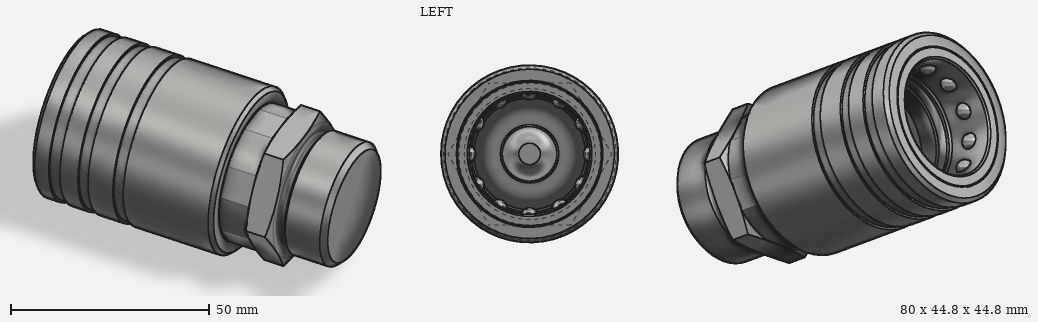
import cadquery as cq
import math

LENGTH = 80.0

SLEEVE_LENGTH = 51.0
SLEEVE_RADIUS = 22.4
SLEEVE_BORE_RADIUS = 18.5
SLEEVE_CHAMFER = 1.0
GRIP_GROOVE_DEPTH = 0.6
GRIP_GROOVE_SPANS = [(5.0, 8.2), (13.2, 16.1), (23.0, 26.0)]

BARREL_RADIUS = 18.2
COLLAR_RADIUS = 18.4
FLAT_DISTANCE = 17.9
CORNER_DISTANCE = FLAT_DISTANCE / math.cos(math.radians(30))
NUT_START = 59.0
NUT_END = 65.9
NUT_CHAMFER_LENGTH = 0.8
NECK_RADIUS = 15.0
NECK_FILLET = 0.9
NECK_END = 67.8
THREAD_START = 68.8
THREAD_RADIUS = 16.6
THREAD_CHAMFER = 1.5

BORE_RADIUS = 15.3
BORE_END = 13.0
MOUTH_CHAMFER = 0.5
THROAT_RADIUS = 14.7
CHAMBER_RADIUS = 14.1
CHAMBER_END = 22.4

BEAD_RADIUS = 1.5
BEAD_GROOVE_START = 14.3
BEAD_GROOVE_END = BEAD_GROOVE_START + 2 * BEAD_RADIUS
BEAD_CENTER_X = BEAD_GROOVE_START + BEAD_RADIUS
BEAD_CENTER_RADIUS = CHAMBER_RADIUS + BEAD_RADIUS

BALL_COUNT = 12
BALL_RADIUS = 2.2
BALL_CIRCLE_RADIUS = 15.8
BALL_X = 7.0

POPPET_RADIUS = 7.4
POPPET_RIM_RADIUS = 6.9
POPPET_TIP_RADIUS = 2.7
POPPET_CONE_LENGTH = 1.0
POPPET_SEAT_DEPTH = 8.0
POPPET_END = CHAMBER_END + POPPET_SEAT_DEPTH

DIAGONAL = math.sqrt(0.5)


def bar(start, end, radius):
    """Round bar along X."""
    return cq.Workplane("YZ").workplane(offset=start).circle(radius).extrude(end - start)


def hexagonal_bar(start, end):
    """Hexagonal bar along X, with two corners in the XY plane."""
    return cq.Workplane("YZ").workplane(offset=start).polygon(6, 2 * CORNER_DISTANCE).extrude(end - start)


def spin(profile):
    """Close a profile of (x, radius) points and revolve it about the X axis."""
    return profile.close().revolve(360, (0, 0, 0), (1, 0, 0))


def make_sleeve():
    sleeve = bar(0, SLEEVE_LENGTH, SLEEVE_RADIUS).faces("<X or >X").chamfer(SLEEVE_CHAMFER)
    for start, end in GRIP_GROOVE_SPANS:
        groove_floor = bar(start, end, SLEEVE_RADIUS - GRIP_GROOVE_DEPTH)
        sleeve = sleeve.cut(bar(start, end, SLEEVE_RADIUS).cut(groove_floor))
    return sleeve.cut(bar(0, SLEEVE_LENGTH, SLEEVE_BORE_RADIUS))


def make_collar():
    """Wrench flats milled on a round collar between the sleeve and the nut."""
    return bar(SLEEVE_LENGTH, NUT_START, COLLAR_RADIUS).intersect(hexagonal_bar(SLEEVE_LENGTH, NUT_START))


def make_nut():
    """Hexagon with its corners turned down to cones on both ends."""
    envelope = spin(
        cq.Workplane("XY")
        .moveTo(NUT_START, 0)
        .lineTo(NUT_START, FLAT_DISTANCE)
        .lineTo(NUT_START + NUT_CHAMFER_LENGTH, CORNER_DISTANCE)
        .lineTo(NUT_END - NUT_CHAMFER_LENGTH, CORNER_DISTANCE)
        .lineTo(NUT_END, FLAT_DISTANCE)
        .lineTo(NUT_END, 0)
    )
    return hexagonal_bar(NUT_START, NUT_END).intersect(envelope)


def make_threaded_end():
    """Filleted neck followed by a plain cylinder at thread size."""
    fillet_center_x = NUT_END + NECK_FILLET
    fillet_center_radius = NECK_RADIUS + NECK_FILLET
    fillet_middle = (
        fillet_center_x - NECK_FILLET * DIAGONAL,
        fillet_center_radius - NECK_FILLET * DIAGONAL,
    )
    return spin(
        cq.Workplane("XY")
        .moveTo(NUT_END, 0)
        .lineTo(NUT_END, fillet_center_radius)
        .threePointArc(fillet_middle, (fillet_center_x, NECK_RADIUS))
        .lineTo(NECK_END, NECK_RADIUS)
        .lineTo(THREAD_START, THREAD_RADIUS)
        .lineTo(LENGTH - THREAD_CHAMFER, THREAD_RADIUS)
        .lineTo(LENGTH, THREAD_RADIUS - THREAD_CHAMFER)
        .lineTo(LENGTH, 0)
    )


def make_cavity():
    """Space inside the socket: mouth, bore, throat, bead groove and chamber."""
    throat_start = BORE_END + BORE_RADIUS - THROAT_RADIUS
    return spin(
        cq.Workplane("XY")
        .lineTo(0, BORE_RADIUS + MOUTH_CHAMFER)
        .lineTo(MOUTH_CHAMFER, BORE_RADIUS)
        .lineTo(BORE_END, BORE_RADIUS)
        .lineTo(throat_start, THROAT_RADIUS)
        .lineTo(BEAD_GROOVE_START, THROAT_RADIUS)
        .lineTo(BEAD_GROOVE_START, BEAD_CENTER_RADIUS)
        .lineTo(BEAD_GROOVE_END, BEAD_CENTER_RADIUS)
        .lineTo(BEAD_GROOVE_END, CHAMBER_RADIUS)
        .lineTo(CHAMBER_END, CHAMBER_RADIUS)
        .lineTo(CHAMBER_END, 0)
    )


def make_bead():
    """Round seal bead seated in its groove."""
    return cq.Workplane(
        cq.Solid.makeTorus(
            BEAD_CENTER_RADIUS,
            BEAD_RADIUS,
            cq.Vector(BEAD_CENTER_X, 0, 0),
            cq.Vector(1, 0, 0),
        )
    )


def make_ball(index):
    angle = 2 * math.pi * index / BALL_COUNT
    center = (BALL_X, BALL_CIRCLE_RADIUS * math.cos(angle), BALL_CIRCLE_RADIUS * math.sin(angle))
    return cq.Workplane("XY").sphere(BALL_RADIUS).translate(center)


def make_body():
    body = bar(0, SLEEVE_LENGTH, BARREL_RADIUS)
    body = body.union(make_collar()).union(make_nut()).union(make_threaded_end())
    body = body.cut(make_cavity())
    body = body.cut(bar(CHAMBER_END, POPPET_END, POPPET_RADIUS))
    body = body.union(make_bead())
    for index in range(BALL_COUNT):
        body = body.union(make_ball(index))
    return body


def make_poppet():
    """Flared nose on a short cone, carried by a plug seated in the chamber floor."""
    flare_radius = POPPET_RIM_RADIUS - POPPET_TIP_RADIUS
    rim_x = CHAMBER_END - POPPET_CONE_LENGTH
    tip_x = rim_x - flare_radius
    flare_middle = (tip_x + flare_radius * DIAGONAL, POPPET_RIM_RADIUS - flare_radius * DIAGONAL)
    return spin(
        cq.Workplane("XY")
        .moveTo(tip_x, 0)
        .lineTo(tip_x, POPPET_TIP_RADIUS)
        .threePointArc(flare_middle, (rim_x, POPPET_RIM_RADIUS))
        .lineTo(CHAMBER_END, POPPET_RADIUS)
        .lineTo(POPPET_END, POPPET_RADIUS)
        .lineTo(POPPET_END, 0)
    )


sleeve = make_sleeve()
body = make_body()
poppet = make_poppet()

result = cq.Compound.makeCompound([sleeve.val(), body.val(), poppet.val()])